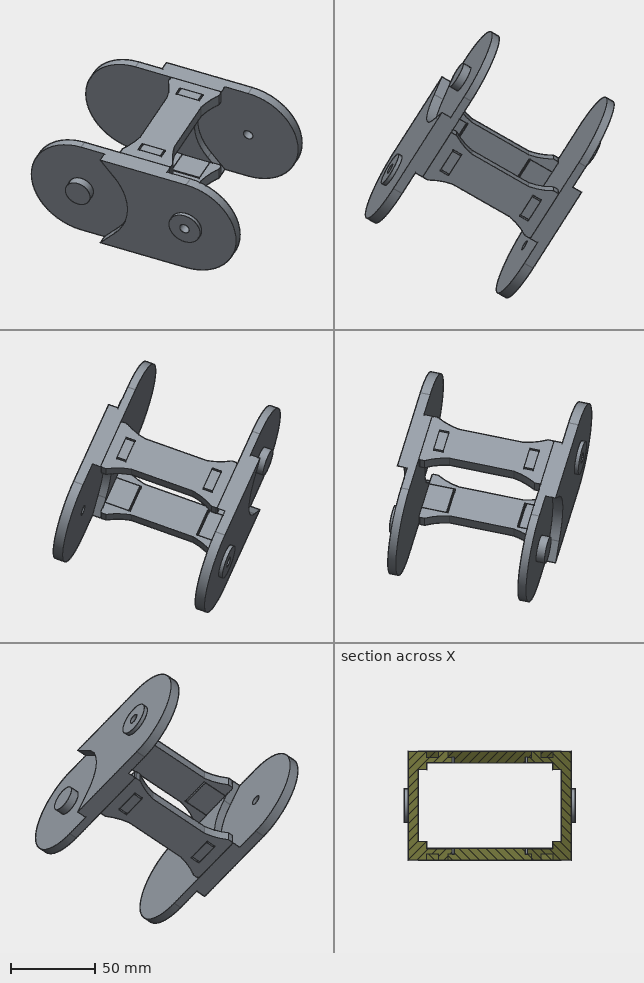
import cadquery as cq
import math

LENGTH = 136.0
WIDTH = 101.8
HEIGHT = 65.0
END_RADIUS = HEIGHT / 2
PIVOT_X = LENGTH / 2 - END_RADIUS

INNER_FACE = 37.4
STEP_FACE = 42.4
OUTER_FACE = 48.5
PIN_FACE = 47.6
BOSS_FACE = WIDTH / 2

PIN_DIAMETER = 16.0
BOSS_DIAMETER = 20.3
PIVOT_HOLE_DIAMETER = 6.1

CLEARANCE_RADIUS = 32.8
CLEARANCE_ANGLE = math.radians(43)
CORNER_OFFSET = 15.1
LAYER_CORNER_X = PIVOT_X - CORNER_OFFSET

BAR_THICKNESS = 7.2
BAR_END_WIDTH = 32.9
BAR_NECK_WIDTH = 22.2
BAR_CENTER_X = LAYER_CORNER_X - BAR_END_WIDTH / 2
BAR_END_LENGTH = 3.7
BAR_NECK_START = 17.7
FLARE_RADIUS = 40.8
BAR_CORNER_CHAMFER = 0.7

TONGUE_WIDTH = 18.0
TONGUE_LENGTH = 15.1
TONGUE_THICKNESS = 3.3
TONGUE_RECESS = 0.3
TONGUE_END_GAP = 1.1
HOOK_WIDTH = 13.5
SLOT_WIDTH = 15.4
SLOT_START = 6.8
SLOT_LENGTH = 5.8


def box(x_center, width, y_min, y_max, z_min, z_max):
    """Block centred on x_center, between the given Y and Z limits."""
    return (
        cq.Workplane("XY", origin=(x_center, (y_min + y_max) / 2, z_min))
        .rect(width, y_max - y_min)
        .extrude(z_max - z_min)
    )


def disc(x, diameter, y_min, y_max):
    """Round disc on an axis parallel to Y, at height Z = 0."""
    return (
        cq.Workplane("XZ", origin=(x, y_max, 0))
        .circle(diameter / 2)
        .extrude(y_max - y_min)
    )


def plate_layer(round_end, y_min, y_max):
    """One layer of a side plate: rounded at one end (-1 left, +1 right), concave at the other."""
    run_out_x = PIVOT_X - CLEARANCE_RADIUS * math.cos(CLEARANCE_ANGLE)
    run_out_z = CLEARANCE_RADIUS * math.sin(CLEARANCE_ANGLE)
    return (
        cq.Workplane("XZ", origin=(0, y_max, 0))
        .moveTo(round_end * PIVOT_X, END_RADIUS)
        .threePointArc((round_end * LENGTH / 2, 0), (round_end * PIVOT_X, -END_RADIUS))
        .lineTo(-round_end * LAYER_CORNER_X, -END_RADIUS)
        .lineTo(-round_end * run_out_x, -run_out_z)
        .threePointArc((-round_end * (PIVOT_X - CLEARANCE_RADIUS), 0), (-round_end * run_out_x, run_out_z))
        .lineTo(-round_end * LAYER_CORNER_X, END_RADIUS)
        .close()
        .extrude(y_max - y_min)
    )


def upper_tongue():
    """Tongue and hook reaching from the +Y plate into the top bar."""
    bottom = HEIGHT / 2 - BAR_THICKNESS + TONGUE_RECESS
    top = bottom + TONGUE_THICKNESS
    hook_outer = INNER_FACE - SLOT_START
    tongue = box(BAR_CENTER_X, TONGUE_WIDTH, INNER_FACE - TONGUE_LENGTH, INNER_FACE, bottom, top)
    hook = box(BAR_CENTER_X, HOOK_WIDTH, hook_outer - SLOT_LENGTH, hook_outer, top, HEIGHT / 2)
    return tongue.union(hook)


def make_side_plate():
    """Side plate on the +Y side."""
    tongue = upper_tongue()
    return (
        plate_layer(-1, INNER_FACE, STEP_FACE)
        .union(plate_layer(1, STEP_FACE, OUTER_FACE))
        .union(disc(-PIVOT_X, PIN_DIAMETER, STEP_FACE, PIN_FACE))
        .union(disc(PIVOT_X, BOSS_DIAMETER, OUTER_FACE, BOSS_FACE))
        .cut(disc(PIVOT_X, PIVOT_HOLE_DIAMETER, STEP_FACE, BOSS_FACE))
        .union(tongue)
        .union(tongue.mirror("XY"))
    )


def bar_edge_cut():
    """Waist cut from the bar's +X edge: a straight neck that flares out along an arc at each end."""
    neck_x = BAR_CENTER_X + BAR_NECK_WIDTH / 2
    neck_y = INNER_FACE - BAR_NECK_START
    edge_x = BAR_CENTER_X + BAR_END_WIDTH / 2
    edge_y = INNER_FACE - BAR_END_LENGTH

    run_x = edge_x - neck_x
    run_y = edge_y - neck_y
    chord = math.hypot(run_x, run_y)
    sagitta = FLARE_RADIUS - math.sqrt(FLARE_RADIUS**2 - (chord / 2) ** 2)
    mid_x = (neck_x + edge_x) / 2 - sagitta * run_y / chord
    mid_y = (neck_y + edge_y) / 2 + sagitta * run_x / chord

    return (
        cq.Workplane("XY", origin=(0, 0, HEIGHT / 2 - BAR_THICKNESS))
        .moveTo(neck_x, -neck_y)
        .lineTo(neck_x, neck_y)
        .threePointArc((mid_x, mid_y), (edge_x, edge_y))
        .lineTo(edge_x, -edge_y)
        .threePointArc((mid_x, -mid_y), (neck_x, -neck_y))
        .close()
        .extrude(BAR_THICKNESS)
    )


def snap_cutout():
    """Pocket and slot at the +Y end of the top bar."""
    bottom = HEIGHT / 2 - BAR_THICKNESS
    top = bottom + TONGUE_RECESS + TONGUE_THICKNESS
    slot_outer = INNER_FACE - SLOT_START
    pocket_end = INNER_FACE - TONGUE_LENGTH - TONGUE_END_GAP
    pocket = box(BAR_CENTER_X, TONGUE_WIDTH, pocket_end, INNER_FACE, bottom, top)
    slot = box(BAR_CENTER_X, SLOT_WIDTH, slot_outer - SLOT_LENGTH, slot_outer, top, HEIGHT / 2)
    return pocket.union(slot)


def make_crossbar():
    """Top crossbar between the two side plates."""
    waist = bar_edge_cut()
    cutout = snap_cutout()
    return (
        box(BAR_CENTER_X, BAR_END_WIDTH, -INNER_FACE, INNER_FACE, HEIGHT / 2 - BAR_THICKNESS, HEIGHT / 2)
        .edges("|Z")
        .chamfer(BAR_CORNER_CHAMFER)
        .cut(waist)
        .cut(waist.mirror("YZ", (BAR_CENTER_X, 0, 0)))
        .cut(cutout)
        .cut(cutout.mirror("XZ"))
    )


back_plate = make_side_plate()
front_plate = back_plate.mirror("XZ")
top_crossbar = make_crossbar()
bottom_crossbar = top_crossbar.mirror("XY")

result = cq.Compound.makeCompound(
    [back_plate.val(), front_plate.val(), top_crossbar.val(), bottom_crossbar.val()]
)